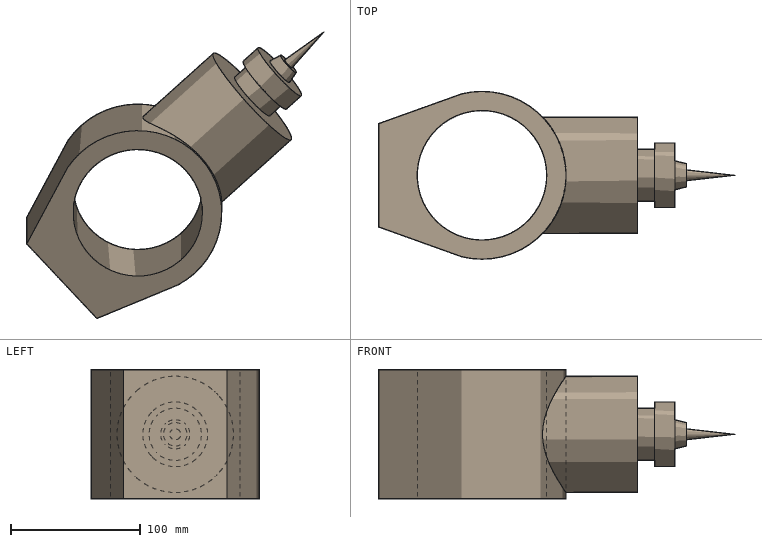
import cadquery as cq
import math

TOTAL_LENGTH = 275.5

CLAMP_HEIGHT = 100.0
RING_RADIUS = 65.0
BORE_DIAMETER = 100.0
HEEL_WIDTH = 80.1
HEEL_LENGTH = 80.0
FLANK_END_OFFSET = 15.7

BARREL_DIAMETER = 90.0
BARREL_END = 200.2
NECK_DIAMETER = 40.5
NECK_END = 213.5
COLLAR_DIAMETER = 50.0
COLLAR_END = 229.1
NOSE_BASE_DIAMETER = 22.5
NOSE_TIP_DIAMETER = 18.2
NOSE_END = 238.2
NEEDLE_DIAMETER = 8.5

BACK_X = -HEEL_LENGTH


def make_clamp():
    """Ring and heel in one outline, with a bore right through."""
    half_heel = HEEL_WIDTH / 2
    half_flank_end = math.sqrt(RING_RADIUS**2 - FLANK_END_OFFSET**2)
    return (
        cq.Workplane("XY")
        .workplane(offset=-CLAMP_HEIGHT / 2)
        .moveTo(BACK_X, -half_heel)
        .lineTo(-FLANK_END_OFFSET, -half_flank_end)
        .threePointArc((RING_RADIUS, 0), (-FLANK_END_OFFSET, half_flank_end))
        .lineTo(BACK_X, half_heel)
        .close()
        .moveTo(0, 0)
        .circle(BORE_DIAMETER / 2)
        .extrude(CLAMP_HEIGHT)
    )


def make_spindle():
    """Stepped spindle with a needle, its barrel saddled against the outside of the ring."""
    barrel_end = BACK_X + BARREL_END
    neck_end = BACK_X + NECK_END
    collar_end = BACK_X + COLLAR_END
    nose_end = BACK_X + NOSE_END
    needle_tip = BACK_X + TOTAL_LENGTH
    profile = [
        (0, 0),
        (0, BARREL_DIAMETER / 2),
        (barrel_end, BARREL_DIAMETER / 2),
        (barrel_end, NECK_DIAMETER / 2),
        (neck_end, NECK_DIAMETER / 2),
        (neck_end, COLLAR_DIAMETER / 2),
        (collar_end, COLLAR_DIAMETER / 2),
        (collar_end, NOSE_BASE_DIAMETER / 2),
        (nose_end, NOSE_TIP_DIAMETER / 2),
        (nose_end, NEEDLE_DIAMETER / 2),
        (needle_tip, 0),
    ]
    turned = cq.Workplane("XZ").polyline(profile).close().revolve(360, (0, 0, 0), (1, 0, 0))
    ring_envelope = cq.Workplane("XY").circle(RING_RADIUS).extrude(CLAMP_HEIGHT / 2, both=True)
    return turned.cut(ring_envelope)


clamp = make_clamp()
spindle = make_spindle()

result = cq.Compound.makeCompound([clamp.val(), *spindle.solids().vals()])